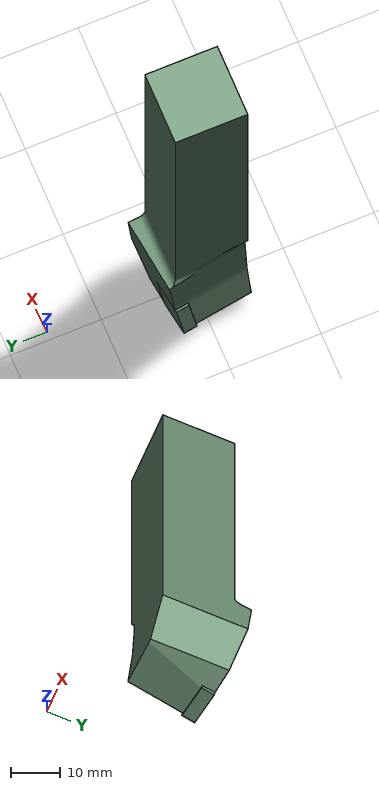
import cadquery as cq
import math

LENGTH = 103.6
SHANK = 16.0
HEAD_BOTTOM = 0.9
HEAD_REACH = 8.3

SHOULDER_Z = 21.9
SHOULDER_SLOPE = 15.0
SHOULDER_RADIUS = 1.92

HEEL_WIDTH = 6.2
HEEL_Z = 10.4

TIP = (-17.8, 3.8)
TIP_ANGLE = 15.0
UPPER_ANGLE = 5.0
BEND_Z = 12.2
BEND_RADIUS = 11.4
GROOVE_TANGENT_Z = 23.6
GROOVE_RADIUS = 9.8

RELIEF_X = -0.125
RELIEF_Z = -0.065

RAKE_POINT = (0.0, 19.7, 21.2)
RAKE_SLOPE_X = 0.122
RAKE_SLOPE_Z = 0.075

INSERT_SIZE = 8.9
INSERT_THICKNESS = 3.0
INSERT_OVERHANG = 0.6
NOSE_RADIUS = 0.8

MARGIN = 10.4
DEPTH = SHANK + HEAD_REACH


def polar(point, distance, angle):
    """Point at a distance and angle (degrees) from an (x, z) point."""
    turn = math.radians(angle)
    return (point[0] + distance * math.cos(turn), point[1] + distance * math.sin(turn))


def in_xz(start):
    """Sketch whose local coordinates are (x, z), at y = 0."""
    return cq.Workplane(cq.Plane((0, 0, 0), (1, 0, 0), (0, -1, 0))).moveTo(*start)


def leaning_prism(outline):
    """Prism of a closed (x, z) outline whose ridges follow the relief lean."""
    lean = cq.Vector(RELIEF_X * DEPTH, DEPTH, RELIEF_Z * DEPTH)
    return cq.Workplane(cq.Solid.extrudeLinear(outline.val(), [], lean))


def shouldered_profile(workplane):
    """Bar profile widened below a filleted, sloping shoulder; local x points outward."""
    slope = math.radians(SHOULDER_SLOPE)
    edge_z = SHOULDER_Z - HEAD_REACH * math.tan(slope)
    tangent = SHOULDER_RADIUS * math.tan((math.pi / 2 - slope) / 2)
    fillet_end = polar((SHANK, SHOULDER_Z), tangent, -SHOULDER_SLOPE)
    return (
        workplane.moveTo(0, HEAD_BOTTOM)
        .lineTo(SHANK + HEAD_REACH, HEAD_BOTTOM)
        .lineTo(SHANK + HEAD_REACH, edge_z)
        .lineTo(*fillet_end)
        .tangentArcPoint((SHANK, SHOULDER_Z + tangent), relative=False)
        .lineTo(SHANK, LENGTH)
        .lineTo(0, LENGTH)
        .close()
    )


def make_blank():
    """Shank and untrimmed head: the shoulders of both sides meet in a mitre."""
    back_side = shouldered_profile(cq.Workplane("YZ")).extrude(-DEPTH)
    left_side = shouldered_profile(
        cq.Workplane(cq.Plane((0, 0, 0), (-1, 0, 0), (0, 1, 0)))
    ).extrude(DEPTH)
    return back_side.intersect(left_side)


def make_heel_cutter():
    """Wedge below the sloping heel."""
    return (
        in_xz((0, HEEL_Z))
        .lineTo(-HEEL_WIDTH, HEAD_BOTTOM)
        .lineTo(0, HEAD_BOTTOM)
        .close()
        .extrude(-DEPTH)
    )


def make_relief_cutter():
    """Space left of the head's side faces and below its end face."""
    lower_rise = 90 - TIP_ANGLE
    upper_rise = 90 - UPPER_ANGLE
    bend = polar(TIP, (BEND_Z - TIP[1]) / math.cos(math.radians(TIP_ANGLE)), lower_rise)
    tangent = BEND_RADIUS * math.tan(math.radians(TIP_ANGLE - UPPER_ANGLE) / 2)
    bend_lower = polar(bend, -tangent, lower_rise)
    bend_upper = polar(bend, tangent, upper_rise)

    upper_length = (GROOVE_TANGENT_Z - BEND_Z) / math.cos(math.radians(UPPER_ANGLE))
    groove_start = polar(bend, upper_length, upper_rise)
    groove_center = polar(groove_start, GROOVE_RADIUS, 180 - UPPER_ANGLE)
    groove_top = polar(groove_center, GROOVE_RADIUS, 90)

    left = -DEPTH - MARGIN
    end = polar(TIP, SHANK, -TIP_ANGLE)
    outline = (
        in_xz(TIP)
        .lineTo(*bend_lower)
        .tangentArcPoint(bend_upper, relative=False)
        .lineTo(*groove_start)
        .tangentArcPoint(groove_top, relative=False)
        .lineTo(left, groove_top[1])
        .lineTo(left, -MARGIN)
        .lineTo(end[0], -MARGIN)
        .lineTo(*end)
        .close()
    )
    return leaning_prism(outline)


def rake_slab(bottom, top):
    """Wide slab between two heights above the rake plane."""
    normal = (-RAKE_SLOPE_X, 1, -RAKE_SLOPE_Z)
    plane = cq.Plane(RAKE_POINT, (1, RAKE_SLOPE_X, 0), normal)
    return cq.Workplane(plane).workplane(offset=bottom).rect(LENGTH, LENGTH).extrude(top - bottom)


def make_insert():
    """Square insert with a rounded nose, flush with the rake plane."""
    nose = polar(TIP, INSERT_OVERHANG * math.sqrt(2), 225 - TIP_ANGLE)
    along_side = 90 - TIP_ANGLE
    along_end = -TIP_ANGLE
    side_top = polar(nose, INSERT_SIZE, along_side)
    end_corner = polar(nose, INSERT_SIZE, along_end)
    outline = (
        in_xz(polar(nose, NOSE_RADIUS, along_end))
        .lineTo(*end_corner)
        .lineTo(*polar(end_corner, INSERT_SIZE, along_side))
        .lineTo(*side_top)
        .lineTo(*polar(nose, NOSE_RADIUS, along_side))
        .tangentArcPoint(polar(nose, NOSE_RADIUS, along_end), relative=False)
        .close()
    )
    return leaning_prism(outline).intersect(rake_slab(-INSERT_THICKNESS, 0))


def make_holder(insert):
    """Shank with the relieved, raked head and the pocket for the insert."""
    return (
        make_blank()
        .cut(make_heel_cutter())
        .cut(make_relief_cutter())
        .cut(rake_slab(0, MARGIN))
        .cut(insert)
    )


insert = make_insert()
holder = make_holder(insert)

result = cq.Compound.makeCompound([holder.val(), insert.val()])